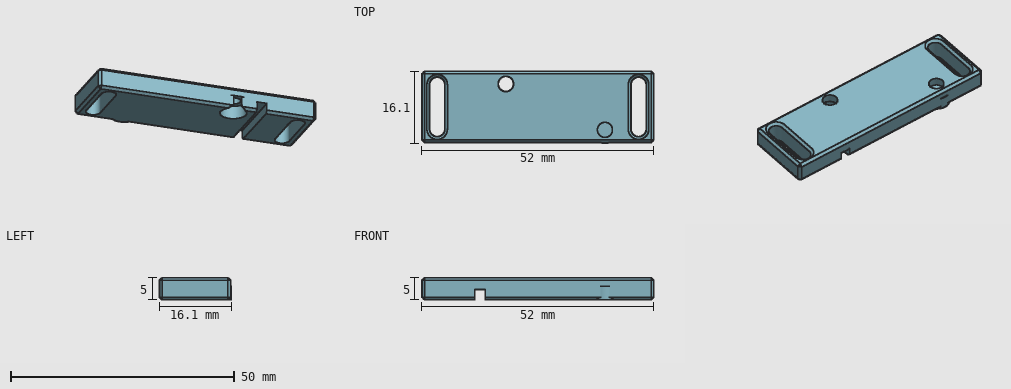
import cadquery as cq

length = 52.0
width = 16.0
thickness = 5.0
edge_chamfer = 0.6

slot_width = 3.4
slot_length = 13.3
slot_end_distance = 3.45
slot_chamfer = 0.6

hole_diameter = 3.4
hole_side_distance = 2.85
through_hole_x = -length / 2 + 18.8
blind_hole_x = -length / 2 + 41.05

pad_bulge = 0.15
pad_radius = hole_side_distance + pad_bulge
pad_height = 3.0

groove_start_x = -length / 2 + 11.85
groove_width = 2.35
groove_depth = 2.3


def make_plate():
    """Rectangular plate with every outer edge chamfered."""
    plate = cq.Workplane("XY").box(length, width, thickness, centered=(True, True, False))
    return plate.edges().chamfer(edge_chamfer)


def make_slot_cutter(x):
    """Through slot along Y with a chamfered upper rim."""
    slot = cq.Workplane("XY").center(x, 0).slot2D(slot_length, slot_width, 90).extrude(thickness)
    rim = (
        cq.Workplane("XY", origin=(x, 0, thickness))
        .slot2D(slot_length + 2 * slot_chamfer, slot_width + 2 * slot_chamfer, 90)
        .extrude(-slot_chamfer, taper=45)
    )
    return slot.union(rim)


def make_cylinder(x, y, radius, bottom, top):
    """Upright cylinder between two heights."""
    return cq.Workplane("XY", origin=(x, y, bottom)).circle(radius).extrude(top - bottom)


hole_y = width / 2 - hole_side_distance

result = make_plate()

for slot_side in (-1, 1):
    slot_x = slot_side * (length / 2 - slot_end_distance)
    result = result.cut(make_slot_cutter(slot_x))

groove = (
    cq.Workplane("XY")
    .box(groove_width, width, groove_depth, centered=(False, True, False))
    .translate((groove_start_x, 0, 0))
)
result = result.cut(groove)

result = result.union(make_cylinder(blind_hole_x, -hole_y, pad_radius, 0, pad_height))

result = result.cut(make_cylinder(blind_hole_x, -hole_y, hole_diameter / 2, pad_height, thickness))
result = result.cut(make_cylinder(through_hole_x, hole_y, hole_diameter / 2, 0, thickness))

result = result.cut(make_cylinder(through_hole_x, hole_y, pad_radius, 0, pad_height))